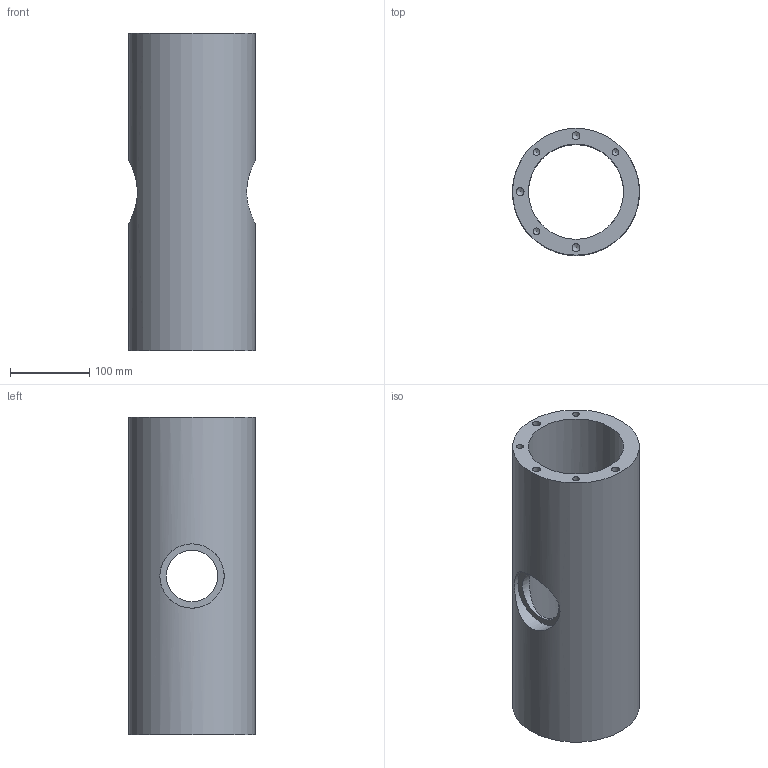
import cadquery as cq
import math

tube_diameter = 160.0
bore_diameter = 120.0
tube_length = 400.0

port_diameter = 65.0
port_seat_diameter = 81.0
seat_face_distance = 63.0

hole_circle_diameter = 141.0
hole_pitch_angle = 90.0
holes_per_set = 3
hole_depth = 20.0
drill_point_angle = 118.0
large_hole_diameter = 10.0
first_large_hole_angle = 90.0
small_hole_diameter = 8.5
first_small_hole_angle = 45.0


def make_tube():
    return (
        cq.Workplane("XY")
        .circle(tube_diameter / 2)
        .circle(bore_diameter / 2)
        .extrude(tube_length / 2, both=True)
    )


def make_port_cutter():
    """Straight cross hole with a larger, flat-bottomed seat at each end."""
    cutter = cq.Workplane("YZ").circle(port_diameter / 2).extrude(tube_diameter / 2, both=True)
    seat_depth = tube_diameter / 2 - seat_face_distance
    for side in (-1, 1):
        seat = (
            cq.Workplane("YZ", origin=(side * seat_face_distance, 0, 0))
            .circle(port_seat_diameter / 2)
            .extrude(side * seat_depth)
        )
        cutter = cutter.union(seat)
    return cutter


def make_end_hole_cutter(diameter, angle):
    """Blind hole with a conical drill point, at the given angle from +X."""
    radius = diameter / 2
    point_depth = radius / math.tan(math.radians(drill_point_angle / 2))
    drill = (
        cq.Workplane("XZ")
        .moveTo(0, 0)
        .lineTo(radius, 0)
        .lineTo(radius, -hole_depth)
        .lineTo(0, -hole_depth - point_depth)
        .close()
        .revolve()
    )
    at_circle = drill.translate((hole_circle_diameter / 2, 0, tube_length / 2))
    return at_circle.rotate((0, 0, 0), (0, 0, 1), angle)


def drill_hole_set(body, diameter, first_angle):
    for index in range(holes_per_set):
        body = body.cut(make_end_hole_cutter(diameter, first_angle + index * hole_pitch_angle))
    return body


result = make_tube().cut(make_port_cutter())
result = drill_hole_set(result, large_hole_diameter, first_large_hole_angle)
result = drill_hole_set(result, small_hole_diameter, first_small_hole_angle)